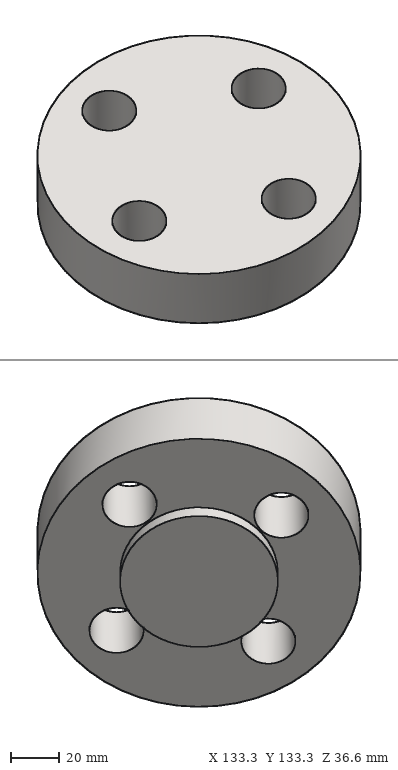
import cadquery as cq

flange_diameter = 133.35
overall_height = 36.58

face_diameter = 65.1
face_height = 6.4
flange_thickness = overall_height - face_height

bolt_circle_diameter = 88.9
bolt_hole_diameter = 22.35
bolt_count = 4


def make_flange():
    """Round disc with its underside at Z = 0."""
    return cq.Workplane("XY").circle(flange_diameter / 2).extrude(flange_thickness)


def add_raised_face(body):
    """Add the smaller round boss under the disc."""
    face = cq.Workplane("XY").circle(face_diameter / 2).extrude(-face_height)
    return body.union(face)


def cut_bolt_holes(body):
    """Cut the evenly spaced through holes outside the raised face."""
    holes = (
        cq.Workplane("XY")
        .polarArray(bolt_circle_diameter / 2, 0, 360, bolt_count)
        .circle(bolt_hole_diameter / 2)
        .extrude(flange_thickness)
    )
    return body.cut(holes)


result = cut_bolt_holes(add_raised_face(make_flange()))